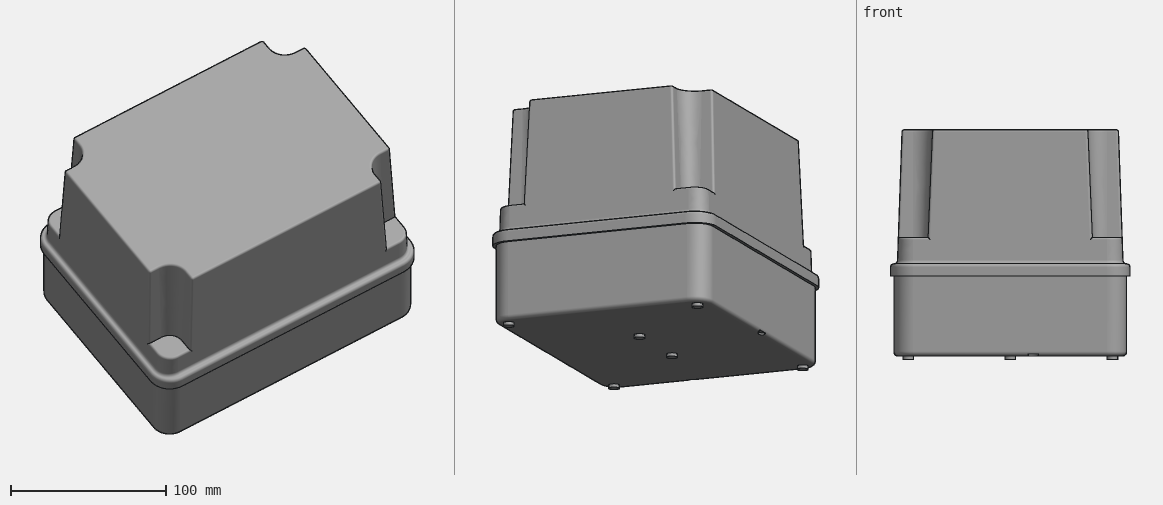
import cadquery as cq

FLANGE_WIDTH = 154.2
FLANGE_LENGTH = 200.2
CORNER_CENTER_INSET = 14.8

BASE_INSET = 2.2
BASE_HEIGHT = 51.5
BASE_FLOOR_FILLET = 2.8

FOOT_DIAMETER = 7.0
FOOT_HEIGHT = 2.2
CORNER_FOOT_X = 65.7
CORNER_FOOT_Y = 88.9
MIDDLE_FOOT_Y = 27.5

NOTCH_HEIGHT = 1.5
FRONT_NOTCH_X = 14.8
FRONT_NOTCH_RADIUS = 3.5
FRONT_NOTCH_DEPTH = 3.5
SIDE_NOTCH_Y = 0.0
SIDE_NOTCH_RADIUS = 5.6
SIDE_NOTCH_DEPTH = 3.2

FLANGE_HEIGHT = 8.0
FLANGE_FILLET = 2.2
LID_INSET = 4.5
LID_TOP_Z = 145.7
LID_DRAFT = 2.0
LID_EDGE_FILLET = 1.6

POCKET_FLOOR_Z = 76.5
POCKET_RADIUS = 9.5
POCKET_DRAFT = 2.4
POCKET_OVERRUN = 10.0
POCKET_MOUTH_OFFSET = 0.6 * POCKET_RADIUS

FLANGE_TOP_Z = BASE_HEIGHT + FLANGE_HEIGHT
CORNER_CENTER_X = FLANGE_WIDTH / 2 - CORNER_CENTER_INSET
CORNER_CENTER_Y = FLANGE_LENGTH / 2 - CORNER_CENTER_INSET
SIDES = (-1, 1)
TOLERANCE = 0.02


def rounded_block(inset, bottom_z, height, draft=0.0):
    """Block with rounded corners, set in from the flange sides, narrowing upward by the draft."""
    outline = cq.Sketch().rect(FLANGE_WIDTH - 2 * inset, FLANGE_LENGTH - 2 * inset)
    outline = outline.vertices().fillet(CORNER_CENTER_INSET - inset)
    return cq.Workplane("XY", origin=(0, 0, bottom_z)).placeSketch(outline).extrude(height, taper=draft)


def foot(x, y):
    """Round foot reaching down from the base floor."""
    return cq.Workplane("XY", origin=(x, y, -FOOT_HEIGHT)).circle(FOOT_DIAMETER / 2).extrude(FOOT_HEIGHT)


def edge_notch(x, y, radius):
    """Upright cylinder that cuts a shallow notch into the bottom edge."""
    return cq.Workplane("XY", origin=(x, y, 0)).circle(radius).extrude(NOTCH_HEIGHT)


def make_base():
    """Base box with a rounded floor edge, two edge notches and six feet."""
    base = rounded_block(BASE_INSET, 0, BASE_HEIGHT).faces("<Z").edges().fillet(BASE_FLOOR_FILLET)

    front_wall_y = BASE_INSET - FLANGE_LENGTH / 2
    side_wall_x = BASE_INSET - FLANGE_WIDTH / 2
    front_notch_y = front_wall_y + FRONT_NOTCH_DEPTH - FRONT_NOTCH_RADIUS
    side_notch_x = side_wall_x + SIDE_NOTCH_DEPTH - SIDE_NOTCH_RADIUS
    base = base.cut(edge_notch(FRONT_NOTCH_X, front_notch_y, FRONT_NOTCH_RADIUS))
    base = base.cut(edge_notch(side_notch_x, SIDE_NOTCH_Y, SIDE_NOTCH_RADIUS))

    for side_y in SIDES:
        base = base.union(foot(0, side_y * MIDDLE_FOOT_Y))
        for side_x in SIDES:
            base = base.union(foot(side_x * CORNER_FOOT_X, side_y * CORNER_FOOT_Y))
    return base


def pocket_cutter(side_x, side_y):
    """Corner pocket widening upward, rounded on its inner corner and open past the lid sides."""
    reach = CORNER_CENTER_INSET + POCKET_OVERRUN + POCKET_RADIUS
    center_x = side_x * (CORNER_CENTER_X - POCKET_RADIUS + reach / 2)
    center_y = side_y * (CORNER_CENTER_Y - POCKET_RADIUS + reach / 2)
    outline = cq.Sketch().rect(reach, reach).vertices().fillet(POCKET_RADIUS)
    pocket = cq.Workplane("XY", origin=(center_x, center_y, POCKET_FLOOR_Z)).placeSketch(outline)
    return pocket.extrude(LID_TOP_Z - POCKET_FLOOR_Z, taper=-POCKET_DRAFT)


def is_cover_rim(edge):
    """True for the edges of the cover's top and for the edges where a pocket opens through a side wall."""
    center = edge.Center()
    on_top = center.z > LID_TOP_Z - TOLERANCE
    above_pocket_floor = edge.BoundingBox().zmin > POCKET_FLOOR_Z - TOLERANCE
    past_corner_center = max(abs(center.x) - CORNER_CENTER_X, abs(center.y) - CORNER_CENTER_Y)
    return on_top or (above_pocket_floor and past_corner_center > POCKET_MOUTH_OFFSET)


def make_cover():
    """Tall upper part of the lid, with its screw pockets."""
    cover = rounded_block(LID_INSET, FLANGE_TOP_Z, LID_TOP_Z - FLANGE_TOP_Z, LID_DRAFT)
    for side_x in SIDES:
        for side_y in SIDES:
            cover = cover.cut(pocket_cutter(side_x, side_y))
    rim_edges = [edge for edge in cover.edges().vals() if is_cover_rim(edge)]
    return cover.newObject(rim_edges).fillet(LID_EDGE_FILLET)


def make_lid():
    """Lid: a flange resting on the base, blended into the tall cover."""
    flange = rounded_block(0, BASE_HEIGHT, FLANGE_HEIGHT).faces(">Z").edges().fillet(FLANGE_FILLET)
    lid = flange.union(make_cover())
    flat_faces = lid.faces("|Z").vals()
    flange_top = next(face for face in flat_faces if abs(face.Center().z - FLANGE_TOP_Z) < TOLERANCE)
    wall_foot = flange_top.innerWires()[0].Edges()
    return lid.newObject(wall_foot).fillet(FLANGE_FILLET)


base = make_base()
lid = make_lid()
result = cq.Compound.makeCompound([base.val(), lid.val()])